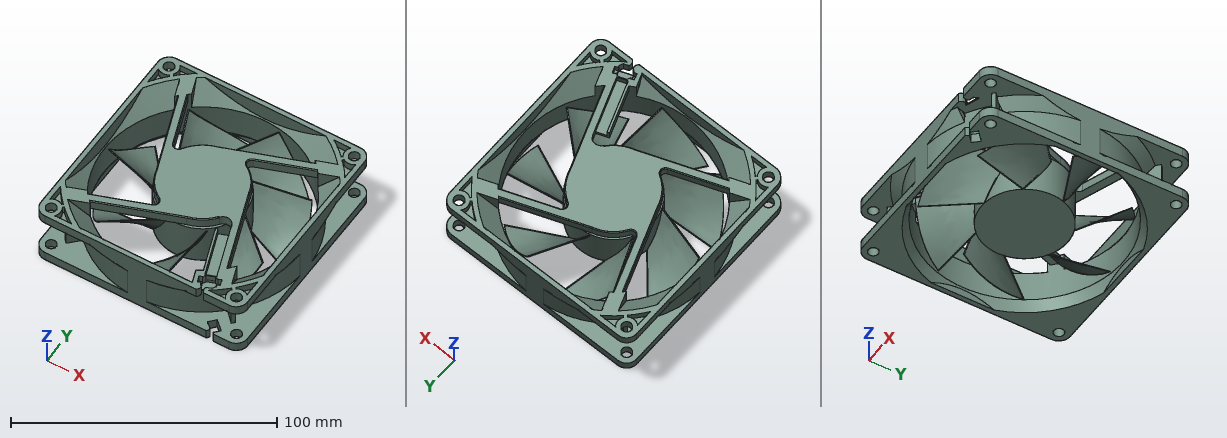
import cadquery as cq
import math

side = 92.0
height = 25.4
flange = 4.2
corner_radius = 5.0
screw_pitch = 82.5
screw_diameter = 4.4
rim_wall = 2.1
flange_top_z = height - flange

bore_radius = 43.5
bore_mouth_radius = 51.5
duct_radius = 46.2
duct_flare_z = 16.7
bore_flare_z = 17.7
bore_bottom_radius = 46.1
outer_slope = 0.955
duct_mouth_radius = duct_radius + outer_slope * (height - duct_flare_z)

corner_count = 4
corner_angle = 45.0
web_thickness = 1.6
web_reach = 52.8
pocket_wall = 2.0
pocket_inner_radius = bore_mouth_radius + pocket_wall
screw_boss_radius = 4.2
pocket_floor = 1.0

plate_radius = 18.5
strut_angle = 20.0
strut_count = 4
strut_inner = 14.75
strut_outer = 18.4
strut_end_inner = 13.4
strut_end_outer = 19.4
strut_edge_chamfer = 0.4
notch_fillet = 2.0
cable_notch_fillet = 3.4

cable_angle = strut_angle - 90.0
cable_strut_inner = 15.2
channel_outer = 9.6
channel_wall = 1.0
channel_start = 21.4
channel_end = 44.4
channel_floor = 1.4
cable_block_inner = 6.8
cable_block_outer = 21.5

top_throat_x = 28.0
bottom_throat_x = 32.4
throat_width = 1.5
throat_mouth = 3.3
throat_depth = 3.6
chamber_start = 44.8
chamber_end = 50.5
chamber_floor = 0.6
chamber_drain_start = 48.9
chamber_inner = 10.0
chamber_outer = 16.0
chamber_chamfer = 1.2
grip_start = 45.6
grip_end = 48.4
grip_width = 1.4
grip_depth = 3.0
bottom_chamber_length = 5.6
bottom_chamber_width = 3.8
bottom_chamber_x = 32.2
bottom_chamber_y = -42.5
bottom_chamber_angle = -42.0

rotor_radius = 19.0
rotor_bottom = 2.2
rotor_top = 20.5
blade_count = 7
blade_tip_radius = 41.3
blade_bottom = 2.2
blade_top = 19.2
blade_root_twist = 32.5
blade_tip_twist = 33.0
blade_root_angle = 119.4
blade_tip_angle = 96.5
blade_middle_angle = (blade_root_angle + blade_tip_angle + blade_root_twist) / 2
blade_start = 13.0
blade_thickness = 0.5
blade_root_sag = 0.9
blade_tip_sag = 3.4


def box(x0, x1, y0, y1, z0, z1):
    return cq.Workplane("XY").box(x1 - x0, y1 - y0, z1 - z0, centered=False).translate((x0, y0, z0))


def disc(radius, z0, z1):
    return cq.Workplane("XY").workplane(offset=z0).circle(radius).extrude(z1 - z0)


def turned(solid, angle):
    return solid.rotate((0, 0, 0), (0, 0, 1), angle)


def flared(radius, mouth_radius, flare_z):
    """Cylinder up to flare_z, then a cone opening to mouth_radius at the top."""
    return (
        cq.Workplane("XZ")
        .polyline([(0, 0), (radius, 0), (radius, flare_z), (mouth_radius, height), (0, height)])
        .close()
        .revolve(360, (0, 0, 0), (0, 1, 0))
    )


def bottom_flare():
    """Cone that opens the bore downwards through the bottom flange."""
    return (
        cq.Workplane("XZ")
        .polyline([(0, 0), (bore_bottom_radius, 0), (bore_radius, flange), (0, flange)])
        .close()
        .revolve(360, (0, 0, 0), (0, 1, 0))
    )


def rounded_square(z0, z1):
    plate = cq.Workplane("XY").workplane(offset=z0).rect(side, side).extrude(z1 - z0)
    return plate.edges("|Z").fillet(corner_radius)


def corner_web(angle):
    half = web_thickness / 2
    return turned(box((bore_radius + duct_radius) / 2, web_reach, -half, half, flange, flange_top_z), angle)


def corner_pockets():
    """Pair of pockets around the +X +Y screw boss, parted by the web."""
    edge = side / 2 - rim_wall
    pocket = box(0, edge, 0, edge, flange_top_z + pocket_floor, height)
    half = web_thickness / 2
    web = turned(box(0, side, -half, half, 0, height), corner_angle)
    boss = disc(screw_boss_radius, 0, height).translate((screw_pitch / 2, screw_pitch / 2, 0))
    return pocket.cut(disc(pocket_inner_radius, 0, height)).cut(web).cut(boss)


def fillet_notch(body, angle, inner, radius):
    """Round the acute notch between the plate rim and the inner side of a strut."""
    along = math.sqrt(plate_radius**2 - inner**2)
    turn = math.radians(angle)
    x = along * math.cos(turn) - inner * math.sin(turn)
    y = along * math.sin(turn) + inner * math.cos(turn)
    near = cq.selectors.NearestToPointSelector((x, y, height - flange / 2))
    return body.edges("|Z").edges(near).fillet(radius)


def motor_plate():
    """Round plate with four tangent struts, built with the cable strut along +X and then turned."""
    inner_sides = [cable_strut_inner] + [strut_inner] * (strut_count - 1)
    fillets = [cable_notch_fillet] + [notch_fillet] * (strut_count - 1)
    plate = disc(plate_radius, flange_top_z, height)
    for i, inner in enumerate(inner_sides):
        bar = box(0, duct_radius, inner, strut_outer, flange_top_z, height)
        plate = plate.union(turned(bar, 90 * i))
    for i, inner in enumerate(inner_sides):
        plate = fillet_notch(plate, 90 * i, inner, fillets[i])

    strut_middle = (cable_strut_inner + strut_outer) / 2
    sharp_side = plate.intersect(
        box(plate_radius / 2, duct_radius, channel_outer, strut_middle, flange_top_z, height)
    )
    plate = plate.faces(">Z").edges().chamfer(strut_edge_chamfer).union(sharp_side)
    return turned(plate.intersect(disc(bore_radius, 0, height)), cable_angle)


def strut_end(angle, inner, outer):
    """Bar that keeps the flare filled where a strut meets the duct wall."""
    return turned(box(0, side, inner, outer, duct_flare_z, height), angle)


def cavity():
    """Air passage: straight bore, bottom flare, and a top flare parted by the strut ends."""
    mouth = side / 2 - rim_wall
    square = box(-mouth, mouth, -mouth, mouth, 0, height)
    top_flare = flared(bore_radius, bore_mouth_radius, bore_flare_z)
    top_flare = top_flare.intersect(square).cut(disc(mouth, 0, bore_flare_z))
    for i in range(strut_count - 1):
        top_flare = top_flare.cut(strut_end(strut_angle + 90 * i, strut_end_inner, strut_end_outer))
    top_flare = top_flare.cut(strut_end(cable_angle, cable_block_inner, cable_block_outer))
    return disc(bore_radius, 0, height).union(bottom_flare().intersect(square)).union(top_flare)


def cable_channel():
    wall_inner = channel_outer + channel_wall
    floor_top = flange_top_z + channel_floor
    wall = box(channel_start, channel_end, channel_outer, wall_inner, flange_top_z, height)
    floor = box(channel_start, channel_end, channel_outer, cable_strut_inner, flange_top_z, floor_top)
    return turned(wall.union(floor), cable_angle)


def channel_groove():
    """Hollow above the channel floor where the channel runs into the duct wall."""
    groove = box(channel_start, channel_end, channel_outer + channel_wall, cable_strut_inner,
                 flange_top_z + channel_floor, height)
    return turned(groove, cable_angle)


def throat(x, z0):
    """Slot through the -Y edge of a flange, pinched between two rounded lips."""
    front = -side / 2
    back = front + throat_depth
    middle = front + throat_depth / 2
    mouth = throat_mouth / 2
    pinch = throat_width / 2
    return (
        cq.Workplane("XY").workplane(offset=z0).moveTo(x - mouth, front).lineTo(x + mouth, front)
        .threePointArc((x + pinch, middle), (x + mouth, back)).lineTo(x - mouth, back)
        .threePointArc((x - pinch, middle), (x - mouth, front)).close().extrude(flange)
    )


def top_exit():
    """Chamfered chamber at the channel end, with a shallow grip recess on each side."""
    chamber = box(chamber_start, chamber_end, chamber_inner, chamber_outer, flange_top_z, height)
    chamber = chamber.edges("|Z").chamfer(chamber_chamfer)
    floor = box(chamber_start, chamber_drain_start, chamber_inner, chamber_outer,
                flange_top_z, flange_top_z + chamber_floor)
    exit_cut = chamber.cut(floor)
    for y in (chamber_inner - grip_width, chamber_outer):
        exit_cut = exit_cut.union(box(grip_start, grip_end, y, y + grip_width, height - grip_depth, height))
    return turned(exit_cut, cable_angle).union(throat(top_throat_x, flange_top_z))


def bottom_exit():
    """Slanting chamber behind the slot in the bottom flange."""
    chamber = cq.Workplane("XY").rect(bottom_chamber_length, bottom_chamber_width).extrude(flange)
    chamber = turned(chamber, bottom_chamber_angle).translate((bottom_chamber_x, bottom_chamber_y, 0))
    return chamber.union(throat(bottom_throat_x, 0))


def make_frame():
    body = flared(duct_radius, duct_mouth_radius, duct_flare_z)
    cable_side = turned(box(0, side, cable_block_inner, cable_block_outer, duct_flare_z, height), cable_angle)
    body = body.cut(cable_side.cut(disc(duct_radius, 0, height)))
    for i in range(corner_count):
        body = body.union(corner_web(corner_angle + 90 * i))
    body = body.union(rounded_square(0, flange)).union(rounded_square(flange_top_z, height))
    body = body.intersect(rounded_square(0, height))

    body = body.cut(cavity())
    for i in range(corner_count):
        body = body.cut(turned(corner_pockets(), 90 * i))
    body = body.union(motor_plate()).union(cable_channel())
    body = body.cut(channel_groove())
    body = body.cut(top_exit()).cut(bottom_exit())
    screws = cq.Workplane("XY").rect(screw_pitch, screw_pitch, forConstruction=True).vertices()
    return body.cut(screws.circle(screw_diameter / 2).extrude(height))


def blade_section(radial, sag):
    """Sagging strip across a blade at the given distance along the blade's middle line."""
    def edge_offset(root_turn, tip_turn):
        root = math.radians(blade_root_angle + root_turn - blade_middle_angle)
        tip = math.radians(blade_tip_angle + tip_turn - blade_middle_angle)
        x0, y0 = rotor_radius * math.cos(root), rotor_radius * math.sin(root)
        x1, y1 = blade_tip_radius * math.cos(tip), blade_tip_radius * math.sin(tip)
        return y0 + (y1 - y0) * (radial - x0) / (x1 - x0)

    low = edge_offset(0, 0)
    high = edge_offset(blade_root_twist, blade_tip_twist)
    middle = (low + high) / 2
    middle_z = (blade_bottom + blade_top) / 2 - sag
    plane = cq.Plane(origin=(radial, 0, 0), xDir=(0, 1, 0), normal=(1, 0, 0))
    return (
        cq.Workplane(plane).moveTo(low, blade_bottom)
        .threePointArc((middle, middle_z), (high, blade_top))
        .lineTo(high + blade_thickness, blade_top)
        .threePointArc((middle + blade_thickness, middle_z), (low + blade_thickness, blade_bottom))
        .close().val()
    )


def make_blade():
    """Blade along +X, ruled from inside the hub to past the tip circle, then trimmed."""
    root = blade_section(blade_start, blade_root_sag)
    tip = blade_section(blade_tip_radius, blade_tip_sag)
    blade = cq.Workplane(cq.Solid.makeLoft([root, tip], True))
    return turned(blade.intersect(disc(blade_tip_radius, 0, height)), blade_middle_angle)


def make_rotor():
    rotor = disc(rotor_radius, rotor_bottom, rotor_top)
    blade = make_blade()
    for i in range(blade_count):
        rotor = rotor.union(turned(blade, 360 / blade_count * i))
    return rotor


frame = make_frame()
rotor = make_rotor()
result = cq.Compound.makeCompound([frame.val(), rotor.val()])